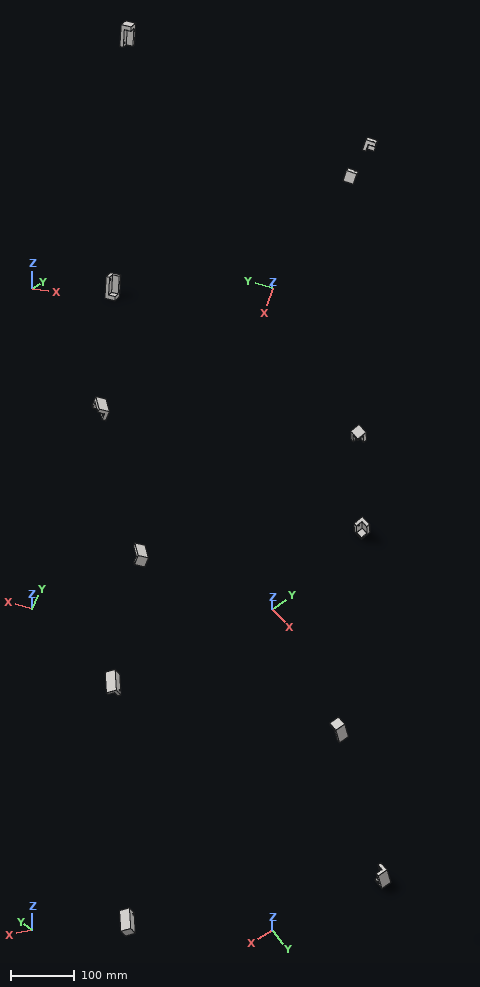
import cadquery as cq

post_length = 475.51
lean_about_x = 6.34
lean_about_y = 6.301

side = 17.78
wall = 6.35
plate_thickness = 7.6
bracket_length = 38.4

hole_diameter = 2.4
hole_to_open_end = 6.0
hole_to_front_edge = 5.08

half_side = side / 2
half_length = post_length / 2


def square_block(height):
    """Block with the full bracket section, standing on Z = 0."""
    return cq.Workplane("XY").box(side, side, height, centered=(True, True, False))


def make_bracket():
    """End plate on Z = 0 with an L-shaped pair of walls rising from it."""
    recess = square_block(bracket_length).translate((wall, -wall, plate_thickness))
    screw_hole = (
        cq.Workplane("YZ", origin=(-half_side, 0, 0))
        .center(hole_to_front_edge - half_side, bracket_length - hole_to_open_end)
        .circle(hole_diameter / 2)
        .extrude(wall)
    )
    return square_block(bracket_length).cut(recess).cut(screw_hole)


def lean(body):
    """Tilt a body about the middle of the post, from upright to the leaning position."""
    tilted = body.rotate((0, 0, 0), (0, 1, 0), lean_about_y)
    return tilted.rotate((0, 0, 0), (1, 0, 0), lean_about_x)


bottom_bracket = make_bracket().translate((0, 0, -half_length))
top_bracket = bottom_bracket.mirror("XY")
brackets = [lean(bracket) for bracket in (bottom_bracket, top_bracket)]

result = cq.Compound.makeCompound([bracket.val() for bracket in brackets])